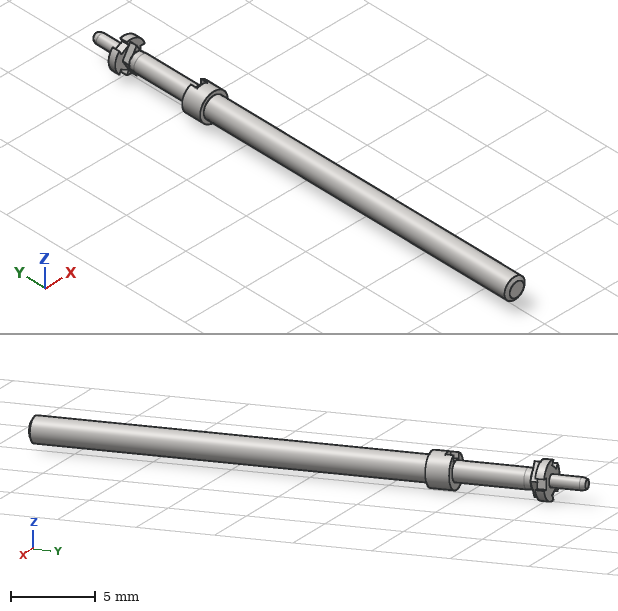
import cadquery as cq
import math

total_length = 35.3

pin_diameter = 0.8
pin_nose_length = 0.35
pin_face_diameter = 0.6

flange_start = 2.25
flange_end = 2.82
flange_diameter = 2.5
notch_count = 3
notch_width = 0.7
notch_floor_radius = 0.85

rim_overshoot = 0.35

key_end = 3.35
key_width = 1.27
key_sharp_angle = 60
key_height = key_width / math.tan(math.radians(key_sharp_angle / 2))

plunger_front_diameter = 1.27
plunger_cone_end = 3.78
plunger_diameter = 1.35

collar_start = 8.33
collar_end = 9.85
collar_diameter = 2.3
slot_width = 0.8
slot_length = 0.53

sleeve_diameter = 1.7
rear_cone_length = 0.18
rear_face_diameter = 1.15


def station(distance):
    """Y coordinate at a distance from the tip."""
    return total_length - distance


def section(start, end):
    """Sketch plane facing the tip at the front end of a section, and its length."""
    plane = cq.Workplane("XZ", origin=(0, station(start), 0))
    return plane, end - start


def cylinder(start, end, diameter):
    plane, length = section(start, end)
    return plane.circle(diameter / 2).extrude(length)


def cone(start, end, start_diameter, end_diameter):
    profile = [
        (0, station(start)),
        (start_diameter / 2, station(start)),
        (end_diameter / 2, station(end)),
        (0, station(end)),
    ]
    return cq.Workplane("XY").polyline(profile).close().revolve(360, (0, 0), (0, 1))


def tip_pin():
    nose_inset = (pin_diameter - pin_face_diameter) / 2
    nose_radius = (pin_nose_length**2 + nose_inset**2) / (2 * nose_inset)
    nose = (
        cq.Workplane("XY")
        .moveTo(0, station(pin_nose_length))
        .lineTo(pin_diameter / 2, station(pin_nose_length))
        .radiusArc((pin_face_diameter / 2, station(0)), -nose_radius)
        .lineTo(0, station(0))
        .close()
        .revolve(360, (0, 0), (0, 1))
    )
    return nose.union(cylinder(pin_nose_length, flange_start, pin_diameter))


def notched_flange():
    flange = cylinder(flange_start, flange_end, flange_diameter)
    plane, length = section(flange_start, flange_end)
    notch_depth = flange_diameter / 2 - notch_floor_radius + rim_overshoot
    notch_center = notch_floor_radius + notch_depth / 2
    notch = plane.center(notch_center, 0).rect(notch_depth, notch_width).extrude(length)
    for index in range(notch_count):
        angle = index * 360 / notch_count
        flange = flange.cut(notch.rotate((0, 0, 0), (0, 1, 0), angle))
    return flange


def rhombic_key():
    corners = [
        (key_width / 2, 0),
        (0, key_height / 2),
        (-key_width / 2, 0),
        (0, -key_height / 2),
    ]
    plane, length = section(flange_end, key_end)
    return plane.polyline(corners).close().extrude(length)


def plunger():
    front = cone(key_end, plunger_cone_end, plunger_front_diameter, plunger_diameter)
    return front.union(cylinder(plunger_cone_end, collar_start, plunger_diameter))


def slotted_collar():
    collar = cylinder(collar_start, collar_end, collar_diameter)
    plane, length = section(collar_start, collar_start + slot_length)
    slot_floor = plunger_diameter / 2
    slot_height = collar_diameter / 2 - slot_floor + rim_overshoot
    slot = plane.center(0, slot_floor + slot_height / 2).rect(slot_width, slot_height).extrude(length)
    return collar.cut(slot)


def sleeve():
    rear_cone_start = total_length - rear_cone_length
    barrel = cylinder(collar_end, rear_cone_start, sleeve_diameter)
    end = cone(rear_cone_start, total_length, sleeve_diameter, rear_face_diameter)
    return barrel.union(end)


result = (
    tip_pin()
    .union(notched_flange())
    .union(rhombic_key())
    .union(plunger())
    .union(slotted_collar())
    .union(sleeve())
)